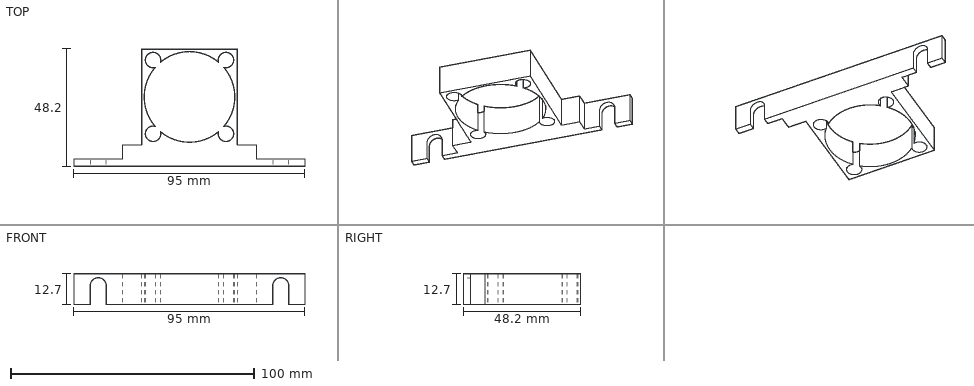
import cadquery as cq

height = 12.7
foot_length = 95.0
foot_thickness = 3.0

frame_side = 39.37
overall_depth = 48.17
frame_center_y = overall_depth - frame_side / 2
bore_diameter = 37.15

step_length = 55.2
step_back = overall_depth - frame_side

corner_hole_pitch_x = 29.95
corner_hole_pitch_y = 30.3
corner_hole_diameter = 6.25

slot_pitch = 75.0
slot_width = 6.5
slot_top = 11.0


def block(width, depth):
    """Full-height block centered on X, reaching back from the Y = 0 plane."""
    return cq.Workplane("XY").box(width, depth, height, centered=(True, False, False))


def make_body():
    foot = block(foot_length, foot_thickness)
    step = block(step_length, step_back)
    frame = block(frame_side, overall_depth)
    return foot.union(step).union(frame)


def make_bore():
    return cq.Workplane("XY").center(0, frame_center_y).circle(bore_diameter / 2).extrude(height)


def make_corner_holes():
    return (
        cq.Workplane("XY")
        .center(0, frame_center_y)
        .rect(corner_hole_pitch_x, corner_hole_pitch_y, forConstruction=True)
        .vertices()
        .circle(corner_hole_diameter / 2)
        .extrude(height)
    )


def make_slot(center_x):
    """Round-topped slot through the foot plate, open at the bottom."""
    radius = slot_width / 2
    shoulder = slot_top - radius
    return (
        cq.Workplane("XZ")
        .moveTo(center_x - radius, 0)
        .lineTo(center_x - radius, shoulder)
        .threePointArc((center_x, slot_top), (center_x + radius, shoulder))
        .lineTo(center_x + radius, 0)
        .close()
        .extrude(-foot_thickness)
    )


result = make_body().cut(make_bore()).cut(make_corner_holes())
for side in (-1, 1):
    result = result.cut(make_slot(side * slot_pitch / 2))